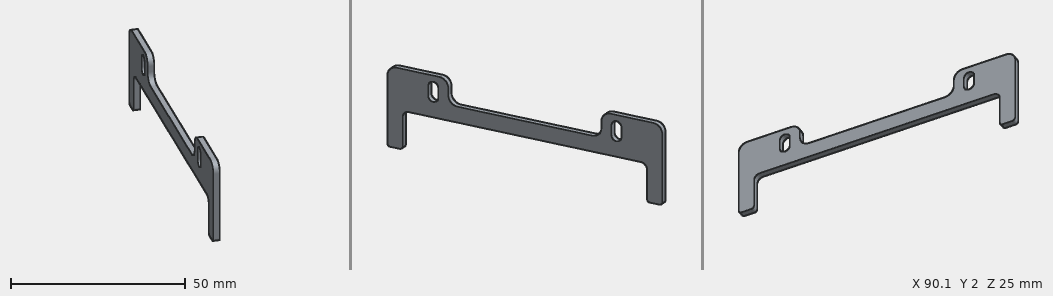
import cadquery as cq

length = 90.1
thickness = 2.0
height = 25.0

tab_width = 20.0
tab_rise = 8.0
leg_width = 5.05
bar_height = 5.0
tab_radius = 3.0
leg_root_radius = 2.0
foot_radius = 1.0

slot_edge_distance = 15.05
slot_top_distance = 5.05
slot_width = 3.2
slot_length = 6.2

half_length = length / 2
bar_top = height - tab_rise
bar_bottom = bar_top - bar_height
tab_inner_x = half_length - tab_width
leg_inner_x = half_length - leg_width


def box_between(x_min, x_max, z_min, z_max):
    """Full-thickness block spanning the given X and Z limits."""
    return (
        cq.Workplane("XY")
        .box(x_max - x_min, thickness, z_max - z_min)
        .translate(((x_min + x_max) / 2, 0, (z_min + z_max) / 2))
    )


def round_corners(body, corners, radius):
    """Round the edges through the plate at the given right-side corners and their mirrors."""
    points = [(side * x, 0, z) for x, z in corners for side in (-1, 1)]
    edges = [
        body.edges("|Y").edges(cq.selectors.NearestToPointSelector(point)).val()
        for point in points
    ]
    return body.newObject([body.val().fillet(radius, edges)])


def make_plate():
    """Full rectangle with the upper and lower openings removed."""
    plate = box_between(-half_length, half_length, 0, height)
    plate = plate.cut(box_between(-tab_inner_x, tab_inner_x, bar_top, height))
    return plate.cut(box_between(-leg_inner_x, leg_inner_x, 0, bar_bottom))


def make_slots():
    """Cutters for the pair of round-ended slots."""
    slot_x = half_length - slot_edge_distance
    slot_z = height - slot_top_distance
    return (
        cq.Workplane("XZ")
        .pushPoints([(-slot_x, slot_z), (slot_x, slot_z)])
        .slot2D(slot_length, slot_width, 90)
        .extrude(thickness, both=True)
    )


tab_corners = [(half_length, height), (tab_inner_x, height), (tab_inner_x, bar_top)]
foot_corners = [(half_length, 0), (leg_inner_x, 0)]

plate = make_plate()
plate = round_corners(plate, tab_corners, tab_radius)
plate = round_corners(plate, [(leg_inner_x, bar_bottom)], leg_root_radius)
plate = round_corners(plate, foot_corners, foot_radius)
result = plate.cut(make_slots())